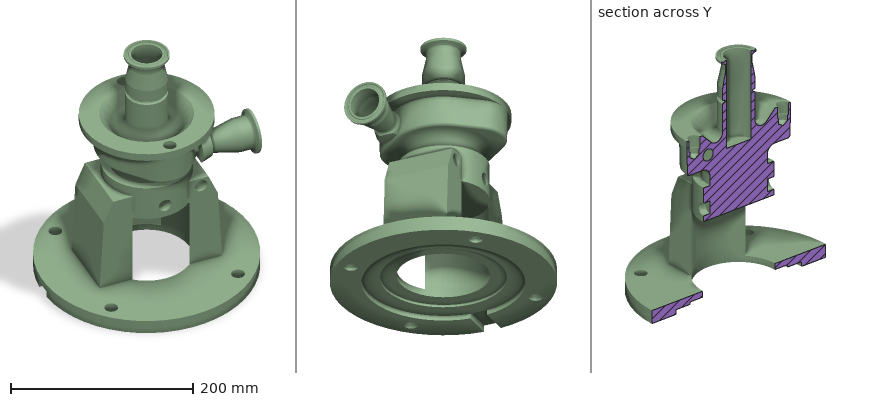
import cadquery as cq
import math

BASE_R = 125.0
BASE_T = 16.5
BASE_HOLE_PITCH = 152.3
BASE_HOLE_D = 15.0
BASE_BORE_R = 51.58
RECESS_R = 90.0
RECESS_DEPTH = 5.8
RELIEF_R = 69.7
RELIEF_DEPTH = 8.7
DRAIN_WIDTH = 20.3
DRAIN_HEIGHT = 7.8

LEG_WIDTH = 77.3
LEG_FOOT_Y = 73.5
LEG_KNEE_Y = 68.5
LEG_KNEE_Z = 104.5
LEG_TOP_Y = 57.2
LEG_TOP_Z = 130.8
LEG_HOLE_D = 14.8
LEG_HOLE_Y = 48.5
LEG_HOLE_Z = 120.5

COLLAR_R = 51.0
COLLAR_BOTTOM_Z = 101.5
COLLAR_TOP_Z = 143.5
COLLAR_HOLE_D = 15.0
COLLAR_HOLE_Z = 116.5
SPIGOT_R = 41.5
SPIGOT_FLARE_R = 10.2

CASING_BOTTOM_Z = 165.0
CASING_R = 59.5
LOBE_R = 34.5
LOBE_X = 40.0
CASING_DRAFT = 1.4
CASING_EDGE_R = 3.2

FLANGE_R = LOBE_X + LOBE_R
FLANGE_BOTTOM_Z = 199.5
FLANGE_TOP_Z = 208.7
DISH_R = 52.0
DISH_FILLET_R = 9.5
FLANGE_HOLE_X = 63.4
FLANGE_HOLE_D = 14.8
FLANGE_HOLE_DEPTH = 14.5
DRILL_D = 12.0
DRILL_DEPTH = 21.8
DRILL_POINT_ANGLE = 118.0

FERRULE_R = 25.3
FERRULE_RIM = 3.0
FERRULE_LENGTH = 5.8
FERRULE_CONE_R = 21.2
FERRULE_CONE_DROP = 1.5
PIPE_R = 19.32
PIPE_BORE_R = 17.3
SEAL_INNER_R = 19.5
SEAL_OUTER_R = 23.5
SEAL_DEPTH = 1.2
SEAL_FLANK = 1.0

TOTAL_HEIGHT = 290.5
INLET_R = 23.5
INLET_CHAMFER_Z = 238.0
INLET_NECK_Z = 240.0
INLET_NECK_R = 20.3
INLET_SLEEVE_Z = 241.5
INLET_SLEEVE_CHAMFER = 1.2
INLET_CONE_Z = 257.2
INLET_PIPE_Z = 276.7
INLET_BORE_END_Z = 181.5

OUTLET_X = 44.0
OUTLET_Z = 182.0
OUTLET_END_Y = 108.0
OUTLET_PIPE_Y = 87.8
OUTLET_CONE_Y = 57.8
OUTLET_CONE_R = 12.5
OUTLET_NECK_R = 9.0
OUTLET_WALL = PIPE_R - PIPE_BORE_R
BOSS_FACE_Y = 53.8
BOSS_FACE_R = 15.7
BOSS_ROOT_Y = 40.0
BOSS_HALF_ANGLE = 17.0


def cylinder(radius, z_low, z_high):
    """Cylinder on the Z axis between two heights."""
    return cq.Workplane("XY").workplane(offset=z_low).circle(radius).extrude(z_high - z_low)


def spin(profile):
    """Revolve an (r, z) profile, drawn in the XZ plane, about the Z axis."""
    return profile.close().revolve(360, (0, 0, 0), (0, 1, 0))


def ferrule(end):
    """Clamp ferrule on the Z axis whose sealing face is at height `end`."""
    cone_bottom = end - FERRULE_RIM - FERRULE_CONE_DROP
    body = spin(
        cq.Workplane("XZ")
        .moveTo(0, end)
        .lineTo(FERRULE_R, end)
        .lineTo(FERRULE_R, end - FERRULE_RIM)
        .lineTo(FERRULE_CONE_R, cone_bottom)
        .lineTo(PIPE_R, end - FERRULE_LENGTH)
        .lineTo(0, end - FERRULE_LENGTH)
    )
    seal_groove = spin(
        cq.Workplane("XZ")
        .moveTo(SEAL_INNER_R, end)
        .lineTo(SEAL_OUTER_R, end)
        .lineTo(SEAL_OUTER_R - SEAL_FLANK, end - SEAL_DEPTH)
        .lineTo(SEAL_INNER_R + SEAL_FLANK, end - SEAL_DEPTH)
    )
    return body.cut(seal_groove)


def make_base():
    base = cylinder(BASE_R, 0, BASE_T)
    bolt_holes = (
        cq.Workplane("XY")
        .rect(BASE_HOLE_PITCH, BASE_HOLE_PITCH, forConstruction=True)
        .vertices()
        .circle(BASE_HOLE_D / 2)
        .extrude(BASE_T)
    )
    drain_length = BASE_R - RECESS_R * math.cos(math.asin(DRAIN_WIDTH / 2 / RECESS_R))
    drain = (
        cq.Workplane("XY")
        .center(0, drain_length / 2 - BASE_R)
        .rect(DRAIN_WIDTH, drain_length)
        .extrude(DRAIN_HEIGHT)
    )
    recess = cylinder(RECESS_R, 0, RECESS_DEPTH)
    relief = cylinder(RELIEF_R, 0, RELIEF_DEPTH)
    return base.cut(bolt_holes).cut(recess).cut(relief).cut(drain)


def make_legs():
    """Block with both sloped outer sides; the bore later parts it into two legs."""
    right_side = [(LEG_FOOT_Y, BASE_T), (LEG_KNEE_Y, LEG_KNEE_Z), (LEG_TOP_Y, LEG_TOP_Z)]
    left_side = [(-y, z) for y, z in reversed(right_side)]
    return (
        cq.Workplane("YZ")
        .polyline(right_side + left_side)
        .close()
        .extrude(LEG_WIDTH / 2, both=True)
    )


def make_stand():
    bore = cylinder(BASE_BORE_R, 0, COLLAR_BOTTOM_Z)
    collar = cylinder(COLLAR_R, COLLAR_BOTTOM_Z, COLLAR_TOP_Z)
    cross_hole = (
        cq.Workplane("YZ")
        .center(0, COLLAR_HOLE_Z)
        .circle(COLLAR_HOLE_D / 2)
        .extrude(COLLAR_R, both=True)
    )
    leg_hole = (
        cq.Workplane("YZ")
        .center(LEG_HOLE_Y, LEG_HOLE_Z)
        .circle(LEG_HOLE_D / 2)
        .extrude(COLLAR_R, both=True)
    )
    spigot = cylinder(SPIGOT_R, COLLAR_BOTTOM_Z, COLLAR_TOP_Z)
    stand = make_base().union(make_legs()).cut(bore).union(collar)
    return stand.cut(cross_hole).union(spigot).cut(leg_hole)


def make_spigot():
    """Spigot above the collar, flaring into the underside of the casing."""
    flare_z = CASING_BOTTOM_Z - SPIGOT_FLARE_R
    return spin(
        cq.Workplane("XZ")
        .moveTo(0, COLLAR_TOP_Z)
        .lineTo(SPIGOT_R, COLLAR_TOP_Z)
        .lineTo(SPIGOT_R, flare_z)
        .radiusArc((SPIGOT_R + SPIGOT_FLARE_R, CASING_BOTTOM_Z), SPIGOT_FLARE_R)
        .lineTo(0, CASING_BOTTOM_Z)
    )


def make_casing():
    normal_x = (CASING_R - LOBE_R) / LOBE_X
    normal_y = math.sqrt(1 - normal_x**2)
    big_x, big_y = CASING_R * normal_x, CASING_R * normal_y
    lobe_x, lobe_y = LOBE_X + LOBE_R * normal_x, LOBE_R * normal_y
    return (
        cq.Workplane("XY", origin=(0, 0, FLANGE_BOTTOM_Z))
        .moveTo(-big_x, big_y)
        .threePointArc((0, CASING_R), (big_x, big_y))
        .lineTo(lobe_x, lobe_y)
        .threePointArc((FLANGE_R, 0), (lobe_x, -lobe_y))
        .lineTo(big_x, -big_y)
        .threePointArc((0, -CASING_R), (-big_x, -big_y))
        .lineTo(-lobe_x, -lobe_y)
        .threePointArc((-FLANGE_R, 0), (-lobe_x, lobe_y))
        .close()
        .extrude(CASING_BOTTOM_Z - FLANGE_BOTTOM_Z, taper=CASING_DRAFT)
        .faces("<Z")
        .edges()
        .fillet(CASING_EDGE_R)
    )


def make_dish():
    """Ring-shaped cut: a 45 degree wall rounding up into the inlet tube."""
    centre_r = INLET_R + DISH_FILLET_R
    diagonal = DISH_FILLET_R * math.sqrt(0.5)
    wall_foot_r = centre_r + diagonal
    wall_foot_z = FLANGE_TOP_Z - (DISH_R - wall_foot_r)
    centre_z = wall_foot_z + diagonal
    return spin(
        cq.Workplane("XZ")
        .moveTo(INLET_R, FLANGE_TOP_Z)
        .lineTo(DISH_R, FLANGE_TOP_Z)
        .lineTo(wall_foot_r, wall_foot_z)
        .threePointArc((centre_r, centre_z - DISH_FILLET_R), (INLET_R, centre_z))
    )


def make_flange_holes():
    """Stepped blind holes with a drill point, one at each end of X."""
    step_z = FLANGE_TOP_Z - FLANGE_HOLE_DEPTH
    drill_z = FLANGE_TOP_Z - DRILL_DEPTH
    point_length = DRILL_D / 2 / math.tan(math.radians(DRILL_POINT_ANGLE / 2))
    hole = spin(
        cq.Workplane("XZ")
        .moveTo(0, FLANGE_TOP_Z)
        .lineTo(FLANGE_HOLE_D / 2, FLANGE_TOP_Z)
        .lineTo(FLANGE_HOLE_D / 2, step_z)
        .lineTo(DRILL_D / 2, step_z)
        .lineTo(DRILL_D / 2, drill_z)
        .lineTo(0, drill_z - point_length)
    )
    return hole.translate((FLANGE_HOLE_X, 0, 0)).union(hole.translate((-FLANGE_HOLE_X, 0, 0)))


def make_inlet():
    """Inlet tube, weld groove, reducing sleeve and ferrule."""
    pipe_top_z = TOTAL_HEIGHT - FERRULE_LENGTH
    tube = spin(
        cq.Workplane("XZ")
        .moveTo(0, FLANGE_BOTTOM_Z)
        .lineTo(INLET_R, FLANGE_BOTTOM_Z)
        .lineTo(INLET_R, INLET_CHAMFER_Z)
        .lineTo(INLET_NECK_R, INLET_NECK_Z)
        .lineTo(INLET_NECK_R, INLET_SLEEVE_Z)
        .lineTo(INLET_R - INLET_SLEEVE_CHAMFER, INLET_SLEEVE_Z)
        .lineTo(INLET_R, INLET_SLEEVE_Z + INLET_SLEEVE_CHAMFER)
        .lineTo(INLET_R, INLET_CONE_Z)
        .lineTo(PIPE_R, INLET_PIPE_Z)
        .lineTo(PIPE_R, pipe_top_z)
        .lineTo(0, pipe_top_z)
    )
    return tube.union(ferrule(TOTAL_HEIGHT))


def aim_outlet(shape):
    """Turn a shape built along +Z onto the outlet axis, along +Y."""
    return shape.rotate((0, 0, 0), (1, 0, 0), -90).translate((OUTLET_X, 0, OUTLET_Z))


def make_outlet():
    """Outlet reducer, weld neck and ferrule."""
    pipe_end = OUTLET_END_Y - FERRULE_LENGTH
    reducer = spin(
        cq.Workplane("XZ")
        .moveTo(0, BOSS_ROOT_Y)
        .lineTo(OUTLET_NECK_R, BOSS_ROOT_Y)
        .lineTo(OUTLET_NECK_R, OUTLET_CONE_Y - (OUTLET_CONE_R - OUTLET_NECK_R))
        .lineTo(OUTLET_CONE_R, OUTLET_CONE_Y)
        .lineTo(PIPE_R, OUTLET_PIPE_Y)
        .lineTo(PIPE_R, pipe_end)
        .lineTo(0, pipe_end)
    )
    return aim_outlet(reducer.union(ferrule(OUTLET_END_Y)))


def make_outlet_boss():
    """Conical boss for the outlet, trimmed to the height of the casing."""
    root_r = BOSS_FACE_R + (BOSS_FACE_Y - BOSS_ROOT_Y) * math.tan(math.radians(BOSS_HALF_ANGLE))
    cone = spin(
        cq.Workplane("XZ")
        .moveTo(0, BOSS_ROOT_Y)
        .lineTo(root_r, BOSS_ROOT_Y)
        .lineTo(BOSS_FACE_R, BOSS_FACE_Y)
        .lineTo(0, BOSS_FACE_Y)
    )
    casing_layer = cylinder(BASE_R, CASING_BOTTOM_Z + CASING_EDGE_R, FLANGE_BOTTOM_Z)
    return aim_outlet(cone).intersect(casing_layer)


def make_outlet_bore():
    """Bore that follows the reducer at a constant wall and ends in the casing."""
    throat_r = OUTLET_NECK_R - OUTLET_WALL
    bore = spin(
        cq.Workplane("XZ")
        .lineTo(throat_r, 0)
        .lineTo(throat_r, BOSS_FACE_Y)
        .lineTo(PIPE_BORE_R, OUTLET_PIPE_Y)
        .lineTo(PIPE_BORE_R, OUTLET_END_Y)
        .lineTo(0, OUTLET_END_Y)
    )
    return aim_outlet(bore)


flange = cylinder(FLANGE_R, FLANGE_BOTTOM_Z, FLANGE_TOP_Z)
head = make_casing().union(flange).union(make_spigot()).cut(make_dish())
head = head.union(make_outlet_boss()).union(make_outlet()).union(make_inlet())
head = head.cut(make_flange_holes()).cut(make_outlet_bore())
head = head.cut(cylinder(PIPE_BORE_R, INLET_BORE_END_Z, TOTAL_HEIGHT))

result = make_stand().union(head)